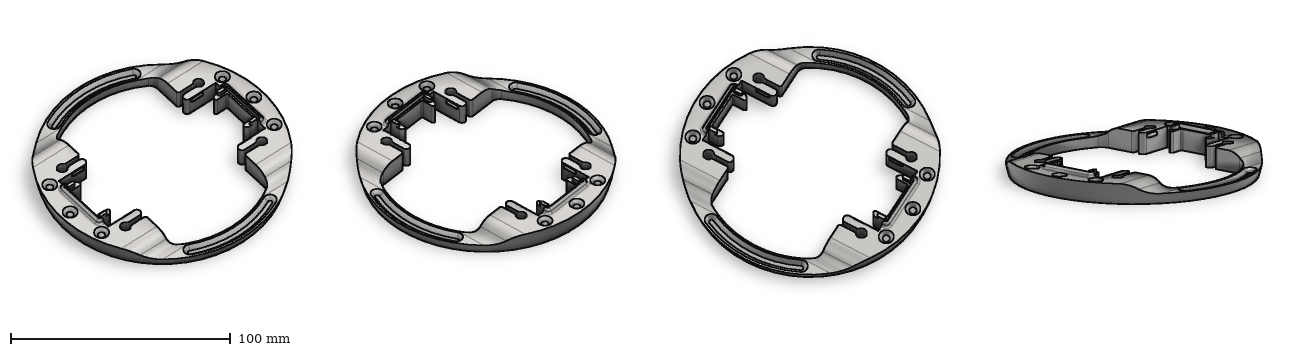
import cadquery as cq
import math

TOP_RADIUS = 59.1
TOP_Z = 10.0
LOW_Z = TOP_Z / 2
SPHERE_CENTRE_Z = 17.2
SPHERE_RADIUS = math.hypot(TOP_RADIUS, SPHERE_CENTRE_Z - TOP_Z)

RAMP_TOP_X = 31.4
RAMP_LOW_X = 45.0

BORE_RADIUS = 50.0
OPENING_HALF_Y = 29.0
OPENING_CORNER_RADIUS = 5.0
WINDOW_HALF_X = 17.6
WINDOW_HALF_Y = 46.1

KEYHOLE_X = 22.6
KEYHOLE_BULB_Y = 40.0
KEYHOLE_BULB_RADIUS = 2.5
KEYHOLE_SLOT_WIDTH = 2.1
KEYHOLE_NECK_RADIUS = 2.0
MOUTH_CORNER_RADIUS = 1.2

BEAD_START_Y = 31.3
BEAD_END_Y = 38.6
BEAD_RADIUS = 1.1
BEAD_PROTRUSION = 0.7
BEAD_END_ROUND = 1.0
BEAD_Z = 8.3

PRONG_OUTER_X = 12.3
PRONG_INNER_X = 9.5
PRONG_TIP_Y = 39.3
PRONG_TIP_X = 10.4
PRONG_SHOULDER_Y = 41.6
PRONG_OUTER_TIP_RADIUS = 2.4
PRONG_ROOT_RADIUS = 0.8

LIP_HEIGHT = 2.0
LIP_RADIUS = LIP_HEIGHT / 2
LIP_CREST_START = 0.2
LIP_CREST_END = 0.8
LIP_INNER_Y = 47.1
WEB_RADIUS = 2.1
BLOCK_WIDTH = 1.8
BLOCK_TIP_Y = 42.2
BLOCK_CORNER_RADIUS = 0.6

PITCH_RADIUS = 54.0
RECESS_TOP_RADIUS = 3.4
RECESS_FLOOR_RADIUS = 1.7
RECESS_ANGLE = 20.0
GROOVE_TOP_HALF_WIDTH = 3.1
GROOVE_FLOOR_HALF_WIDTH = 1.1
GROOVE_HALF_ANGLE = 25.8

SIDES = (-1, 1)


def box(x0, x1, y0, y1, z0, z1):
    """Axis-aligned block between two opposite corners."""
    return cq.Workplane("XY").box(x1 - x0, y1 - y0, z1 - z0, centered=False).translate((x0, y0, z0))


def both_sides(half):
    """Half-shape at +X joined with its mirror image at -X."""
    return half.union(half.mirror("YZ"))


def both_ends(end):
    """Shape at the +Y end joined with its mirror image at the -Y end."""
    return end.union(end.mirror("XZ"))


def fillet_corners(body, corners, radius):
    """Round the vertical edges that pass through the given (x, y) corners."""
    tolerance = 0.06
    picked = [
        edge
        for edge in body.edges("|Z").vals()
        if any(math.hypot(edge.Center().x - x, edge.Center().y - y) < tolerance for x, y in corners)
    ]
    return body.newObject(picked).fillet(radius)


def mirrored_corners(x, y):
    return [(sx * x, sy * y) for sx in SIDES for sy in SIDES]


def ring_blank():
    """Spherical slice whose upper face drops over S-shaped ramps to the low bands."""
    sphere = cq.Workplane("XY").sphere(SPHERE_RADIUS).translate((0, 0, SPHERE_CENTRE_Z))
    mid_x = (RAMP_TOP_X + RAMP_LOW_X) / 2
    mid_z = (TOP_Z + LOW_Z) / 2
    half_run = mid_x - RAMP_TOP_X
    half_drop = TOP_Z - mid_z
    ramp_radius = (half_run**2 + half_drop**2) / (2 * half_drop)
    reach = TOP_RADIUS + 1.2
    profile = (
        cq.Workplane("XZ")
        .moveTo(0, 0)
        .lineTo(reach, 0)
        .lineTo(reach, LOW_Z)
        .lineTo(RAMP_LOW_X, LOW_Z)
        .radiusArc((mid_x, mid_z), ramp_radius)
        .radiusArc((RAMP_TOP_X, TOP_Z), -ramp_radius)
        .lineTo(0, TOP_Z)
        .close()
    )
    return both_sides(profile.extrude(reach, both=True)).intersect(sphere)


def main_opening():
    """Round bore cut off by two straight sides, with rounded corners."""
    bore = cq.Workplane("XY").circle(BORE_RADIUS).extrude(TOP_Z)
    band = box(-BORE_RADIUS, BORE_RADIUS, -OPENING_HALF_Y, OPENING_HALF_Y, 0, TOP_Z)
    return bore.intersect(band).edges("|Z").fillet(OPENING_CORNER_RADIUS)


def keyhole():
    bulb = cq.Workplane("XY").center(KEYHOLE_X, KEYHOLE_BULB_Y).circle(KEYHOLE_BULB_RADIUS).extrude(TOP_Z)
    half_width = KEYHOLE_SLOT_WIDTH / 2
    slot = box(KEYHOLE_X - half_width, KEYHOLE_X + half_width, OPENING_HALF_Y, KEYHOLE_BULB_Y, 0, TOP_Z)
    neck_y = KEYHOLE_BULB_Y - math.sqrt(KEYHOLE_BULB_RADIUS**2 - half_width**2)
    neck_corners = [(KEYHOLE_X + side * half_width, neck_y) for side in SIDES]
    return fillet_corners(bulb.union(slot), neck_corners, KEYHOLE_NECK_RADIUS)


def prong():
    """Full-height prong with a large round on the outer side of its tip and a small one inside."""
    inner_radius = PRONG_TIP_X - PRONG_INNER_X
    outline = (
        cq.Workplane("XY")
        .moveTo(PRONG_INNER_X, WINDOW_HALF_Y)
        .lineTo(PRONG_OUTER_X, WINDOW_HALF_Y)
        .lineTo(PRONG_OUTER_X, PRONG_SHOULDER_Y)
        .radiusArc((PRONG_TIP_X, PRONG_TIP_Y), PRONG_OUTER_TIP_RADIUS)
        .radiusArc((PRONG_INNER_X, PRONG_TIP_Y + inner_radius), inner_radius)
        .close()
    )
    return outline.extrude(TOP_Z)


def finger_tip_waste():
    """Corners to remove so that a finger ends in a half-round."""
    outer_x = KEYHOLE_X - KEYHOLE_SLOT_WIDTH / 2
    radius = (outer_x - WINDOW_HALF_X) / 2
    tip_block = box(WINDOW_HALF_X, outer_x, OPENING_HALF_Y, OPENING_HALF_Y + radius, 0, TOP_Z)
    round_end = (
        cq.Workplane("XY")
        .center(WINDOW_HALF_X + radius, OPENING_HALF_Y + radius)
        .circle(radius)
        .extrude(TOP_Z)
    )
    return tip_block.cut(round_end)


def bead():
    """Round bar mostly sunk in the finger's inner face, with rounded ends."""
    length = BEAD_END_Y - BEAD_START_Y
    bar = cq.Workplane("XZ").circle(BEAD_RADIUS).extrude(-length).edges("%CIRCLE").fillet(BEAD_END_ROUND)
    axis_x = WINDOW_HALF_X - BEAD_PROTRUSION + BEAD_RADIUS
    return bar.translate((axis_x, BEAD_START_Y, BEAD_Z))


def lip_profile(plane):
    """Lip section: leaning inner wall, flat crest, round shoulder, hollow foot; local X runs outward."""
    shoulder = LIP_CREST_END + LIP_RADIUS
    foot = shoulder + LIP_RADIUS
    return (
        cq.Workplane(plane)
        .moveTo(0, 0)
        .lineTo(LIP_CREST_START, LIP_HEIGHT)
        .lineTo(LIP_CREST_END, LIP_HEIGHT)
        .radiusArc((shoulder, LIP_RADIUS), LIP_RADIUS)
        .radiusArc((foot, 0), -LIP_RADIUS)
        .close()
    )


def lip_half():
    """Back run, turned corner and short leg of the lip, with a hollow web inside the leg."""
    along_x = cq.Plane(origin=(0, LIP_INNER_Y, TOP_Z), xDir=(0, 1, 0), normal=(1, 0, 0))
    corner = cq.Plane(origin=(PRONG_OUTER_X, LIP_INNER_Y, TOP_Z), xDir=(1, 0, 0), normal=(0, -1, 0))
    leg_length = LIP_INNER_Y - WINDOW_HALF_Y
    run = lip_profile(along_x).extrude(PRONG_OUTER_X)
    turn = lip_profile(corner).revolve(90, (0, 0, 0), (0, 1, 0))
    leg = lip_profile(corner).extrude(leg_length)
    web = (
        cq.Workplane(corner)
        .moveTo(LIP_CREST_START, 0)
        .lineTo(LIP_CREST_START, LIP_HEIGHT)
        .radiusArc((-BLOCK_WIDTH, 0), WEB_RADIUS)
        .close()
        .extrude(leg_length)
    )
    return run.union(turn).union(leg).union(web)


def prong_block():
    """Low block on top of a prong, rounded at its tip."""
    inner_x = PRONG_OUTER_X - BLOCK_WIDTH
    block = box(inner_x, PRONG_OUTER_X, BLOCK_TIP_Y, WINDOW_HALF_Y, TOP_Z, TOP_Z + LIP_HEIGHT)
    tip_corners = [(x, BLOCK_TIP_Y) for x in (inner_x, PRONG_OUTER_X)]
    return fillet_corners(block, tip_corners, BLOCK_CORNER_RADIUS)


def recesses():
    """Three blind conical recesses at the +Y end."""
    depth = RECESS_TOP_RADIUS - RECESS_FLOOR_RADIUS
    floor_centre = cq.Vector(0, PITCH_RADIUS, TOP_Z - depth)
    cone = cq.Workplane(cq.Solid.makeCone(RECESS_FLOOR_RADIUS, RECESS_TOP_RADIUS, depth, pnt=floor_centre))
    cones = cone
    for angle in (-RECESS_ANGLE, RECESS_ANGLE):
        cones = cones.union(cone.rotate((0, 0, 0), (0, 0, 1), angle))
    return cones


def groove():
    """Arc-shaped groove with sloping walls and conical ends in the +X band."""
    depth = GROOVE_TOP_HALF_WIDTH - GROOVE_FLOOR_HALF_WIDTH
    floor_z = LOW_Z - depth
    trench = (
        cq.Workplane("XZ")
        .polyline([
            (PITCH_RADIUS - GROOVE_FLOOR_HALF_WIDTH, floor_z),
            (PITCH_RADIUS + GROOVE_FLOOR_HALF_WIDTH, floor_z),
            (PITCH_RADIUS + GROOVE_TOP_HALF_WIDTH, LOW_Z),
            (PITCH_RADIUS - GROOVE_TOP_HALF_WIDTH, LOW_Z),
        ])
        .close()
        .revolve(2 * GROOVE_HALF_ANGLE, (0, 0, 0), (0, 1, 0))
        .rotate((0, 0, 0), (0, 0, 1), -GROOVE_HALF_ANGLE)
    )
    floor_centre = cq.Vector(PITCH_RADIUS, 0, floor_z)
    end = cq.Workplane(
        cq.Solid.makeCone(GROOVE_FLOOR_HALF_WIDTH, GROOVE_TOP_HALF_WIDTH, depth, pnt=floor_centre)
    )
    for angle in (-GROOVE_HALF_ANGLE, GROOVE_HALF_ANGLE):
        trench = trench.union(end.rotate((0, 0, 0), (0, 0, 1), angle))
    return trench


body = ring_blank().cut(main_opening())
body = body.cut(box(-WINDOW_HALF_X, WINDOW_HALF_X, -WINDOW_HALF_Y, WINDOW_HALF_Y, 0, TOP_Z))
body = body.cut(both_ends(both_sides(keyhole())))

mouth_corners = mirrored_corners(KEYHOLE_X + KEYHOLE_SLOT_WIDTH / 2, OPENING_HALF_Y)
body = fillet_corners(body, mouth_corners, MOUTH_CORNER_RADIUS)
body = body.cut(both_ends(both_sides(finger_tip_waste())))

body = body.union(both_ends(both_sides(prong())))
body = fillet_corners(body, mirrored_corners(PRONG_INNER_X, WINDOW_HALF_Y), PRONG_ROOT_RADIUS)
body = body.union(both_ends(both_sides(lip_half())))
body = body.union(both_ends(both_sides(prong_block())))
body = body.union(both_ends(both_sides(bead())))

body = body.cut(both_ends(recesses()))
result = body.cut(both_sides(groove()))